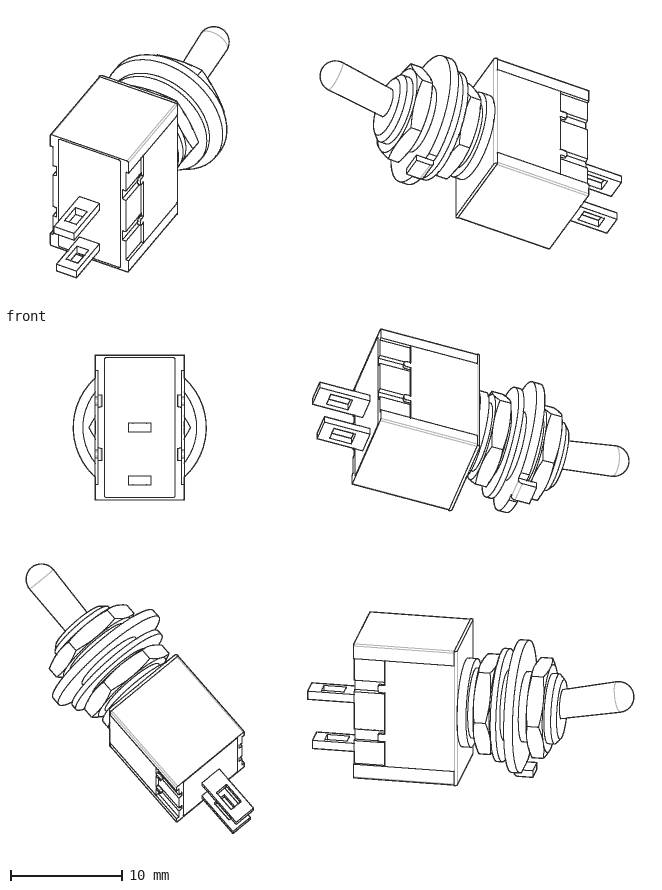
import cadquery as cq
import math


overall_length = 29.6

case_width = 8.0
case_height = 13.0
case_length = 9.18
case_edge_radius = 0.15
sheet = 0.27
bend_radius = 0.25
leg_height = 10.25
leg_end_y = 2.85
web_front_y = case_length + sheet

groove_offset = 2.37
groove_height = 1.13
groove_depth = 0.35
groove_draft = 0.1
groove_end_radius = 0.27
tongue_height = 0.7
tongue_length = 0.62
tongue_radius = 0.18

wall = 0.2
base_width = case_width - 2 * (sheet + groove_depth + wall)
base_height = case_height - 2 * wall
base_depth = leg_end_y
base_corner_radius = 0.18
terminal_width = 2.05
terminal_thickness = 0.8
terminal_pitch = 4.75
middle_terminal_length = 4.77
lower_terminal_length = 4.32
eye_width = 1.18
eye_length = 2.05
middle_eye_y = -2.55
lower_eye_y = -2.25

flange_diameter = case_width
flange_front_y = 10.27
bushing_diameter = 6.35
bushing_tip_diameter = 5.35
bushing_tip_y = 18.3
bushing_chamfer_length = 0.45

nut_across_flats = 7.9
nut_thickness = 1.48
nut_chamfer_start_radius = nut_across_flats / 2
nut_chamfer_angle = 20.0
front_nut_y = 15.75
tab_washer_y = 14.1
washer_y = 12.7
rear_nut_y = 10.9
tab_washer_diameter = 11.95
tab_washer_thickness = 0.8
tab_bottom_z = -6.4
tab_thickness = 0.65
tab_width = 2.0
tab_tip_y = 15.8
tab_bend_radius = 0.35
washer_diameter = 10.22
washer_thickness = 0.5

lever_tilt = 12.0
lever_length = 7.7
lever_tip_radius = 1.4
lever_tip_y = overall_length - middle_terminal_length
lever_pivot_y = lever_tip_y - lever_tip_radius - lever_length * math.cos(math.radians(lever_tilt))
lever_pivot_radius = 1.25


def box(x_range, y_range, z_range):
    """Box between the given limits on each axis."""
    sizes = [high - low for low, high in (x_range, y_range, z_range)]
    corner = (x_range[0], y_range[0], z_range[0])
    return cq.Workplane("XY").box(*sizes, centered=False).translate(corner)


def centred_block(width, height, rear_y, front_y):
    """Block centred on the bushing axis."""
    return box((-width / 2, width / 2), (rear_y, front_y), (-height / 2, height / 2))


def cylinder(diameter, rear_y, front_y):
    """Solid cylinder on the bushing axis."""
    outline = cq.Workplane("XZ", origin=(0, rear_y, 0)).circle(diameter / 2)
    return outline.extrude(rear_y - front_y)


def ring(diameter, rear_y, thickness):
    """Flat ring that fits around the bushing."""
    front_y = rear_y + thickness
    return cylinder(diameter, rear_y, front_y).cut(cylinder(bushing_diameter, rear_y, front_y))


def both_sides(body):
    """A feature of the -X side joined with its mirror image on the +X side."""
    return body.union(body.mirror("YZ"))


def make_lever():
    """Tapered lever with a ball end, tilted about its pivot on the bushing axis."""
    half_profile = (
        cq.Workplane("XY")
        .lineTo(lever_pivot_radius, 0)
        .lineTo(lever_tip_radius, lever_length)
        .radiusArc((0, lever_length + lever_tip_radius), -lever_tip_radius)
        .close()
    )
    lever = half_profile.revolve(360, (0, 0, 0), (0, 1, 0))
    return lever.rotate((0, 0, 0), (1, 0, 0), lever_tilt).translate((0, lever_pivot_y, 0))


def make_bracket(lever):
    """Threaded bushing on a sheet-metal bracket whose two legs clasp the case."""
    web = centred_block(case_width, case_height, case_length, web_front_y)
    web = web.edges(">Y and |Z").fillet(bend_radius)
    leg = box(
        (-case_width / 2, sheet - case_width / 2),
        (leg_end_y, case_length),
        (-leg_height / 2, leg_height / 2),
    )
    for side in (1, -1):
        leg = leg.union(make_tongue(side * groove_offset))
    flange = cylinder(flange_diameter, web_front_y, flange_front_y)
    barrel = cylinder(bushing_diameter, case_length, bushing_tip_y)
    barrel = barrel.faces(">Y").chamfer(
        bushing_chamfer_length, (bushing_diameter - bushing_tip_diameter) / 2
    )
    return web.union(both_sides(leg)).union(flange).union(barrel).cut(lever)


def make_tongue(centre_z):
    """Round-cornered tongue on the rear end of the -X leg."""
    tongue = box(
        (-case_width / 2, sheet - case_width / 2),
        (leg_end_y - tongue_length, leg_end_y),
        (centre_z - tongue_height / 2, centre_z + tongue_height / 2),
    )
    return tongue.edges("<Y and |X").fillet(tongue_radius)


def make_groove():
    """Upper clip groove of the -X side, with a rounded end that runs under the leg."""
    outer_x = sheet - case_width / 2
    floor_x = outer_x + groove_depth
    top_z = groove_offset + groove_height / 2
    bottom_z = groove_offset - groove_height / 2
    channel = (
        cq.Workplane("XZ")
        .moveTo(outer_x, bottom_z)
        .lineTo(floor_x, bottom_z + groove_draft)
        .lineTo(floor_x, top_z)
        .lineTo(outer_x, top_z)
        .close()
        .extrude(-leg_end_y - groove_end_radius)
    )
    plan = (
        cq.Workplane("XY")
        .moveTo(outer_x, 0)
        .lineTo(outer_x, leg_end_y)
        .radiusArc((outer_x + groove_end_radius, leg_end_y + groove_end_radius), groove_end_radius)
        .lineTo(floor_x, leg_end_y + groove_end_radius)
        .lineTo(floor_x, 0)
        .close()
        .extrude(case_height)
    )
    return channel.intersect(plan)


def make_case():
    """Case with side recesses for the bracket legs, clip grooves and an open rear."""
    case = centred_block(case_width, case_height, 0, case_length)
    case = case.edges("|Y").fillet(case_edge_radius)
    recess = box(
        (-case_width / 2, sheet - case_width / 2),
        (0, case_length),
        (-leg_height / 2, leg_height / 2),
    )
    groove = make_groove()
    side_cuts = recess.union(groove).union(groove.mirror("XY"))
    return case.cut(both_sides(side_cuts)).cut(make_base_block())


def make_base_block():
    """Round-cornered block that fills the open rear of the case."""
    block = centred_block(base_width, base_height, 0, base_depth)
    return block.edges("|Y").fillet(base_corner_radius)


def make_terminal(length, eye_y, centre_z):
    """Flat solder terminal with a rectangular eye."""
    z_range = (centre_z - terminal_thickness / 2, centre_z + terminal_thickness / 2)
    blade = box((-terminal_width / 2, terminal_width / 2), (-length, 0), z_range)
    eye = box(
        (-eye_width / 2, eye_width / 2),
        (eye_y - eye_length / 2, eye_y + eye_length / 2),
        z_range,
    )
    return blade.cut(eye)


def make_base():
    """Base block with its two terminals."""
    middle = make_terminal(middle_terminal_length, middle_eye_y, 0)
    lower = make_terminal(lower_terminal_length, lower_eye_y, -terminal_pitch)
    return make_base_block().union(middle).union(lower)


def make_nut(rear_y):
    """Hexagon nut with corners on the X axis, chamfered on both faces."""
    corner_radius = nut_across_flats / 2 / math.cos(math.radians(30))
    drop = (corner_radius - nut_chamfer_start_radius) * math.tan(math.radians(nut_chamfer_angle))
    hexagon = (
        cq.Workplane("XZ")
        .polygon(6, 2 * corner_radius)
        .circle(bushing_diameter / 2)
        .extrude(-nut_thickness)
    )
    envelope = (
        cq.Workplane("XY")
        .lineTo(nut_chamfer_start_radius, 0)
        .lineTo(corner_radius, drop)
        .lineTo(corner_radius, nut_thickness - drop)
        .lineTo(nut_chamfer_start_radius, nut_thickness)
        .lineTo(0, nut_thickness)
        .close()
        .revolve(360, (0, 0, 0), (0, 1, 0))
    )
    return hexagon.intersect(envelope).translate((0, rear_y, 0))


def make_tab_washer():
    """Ring cut flat at the bottom, where a locating tab is bent forward."""
    blank = ring(tab_washer_diameter, tab_washer_y, tab_washer_thickness)
    tab_top_z = tab_bottom_z + tab_thickness
    below_flat = box(
        (-tab_washer_diameter / 2, tab_washer_diameter / 2),
        (tab_washer_y, tab_washer_y + tab_washer_thickness),
        (-tab_washer_diameter / 2, tab_top_z),
    )
    tab = box(
        (-tab_width / 2, tab_width / 2),
        (tab_washer_y, tab_tip_y),
        (tab_bottom_z, tab_top_z),
    )
    tab = tab.edges("<Y and <Z").fillet(tab_bend_radius)
    return blank.cut(below_flat).union(tab)


lever = make_lever()
bracket = make_bracket(lever)
case = make_case()
base = make_base()
nuts = [make_nut(rear_y) for rear_y in (front_nut_y, rear_nut_y)]
tab_washer = make_tab_washer()
washer = ring(washer_diameter, washer_y, washer_thickness)

bodies = [lever, bracket, case, base, *nuts, tab_washer, washer]
result = cq.Compound.makeCompound([body.val() for body in bodies])